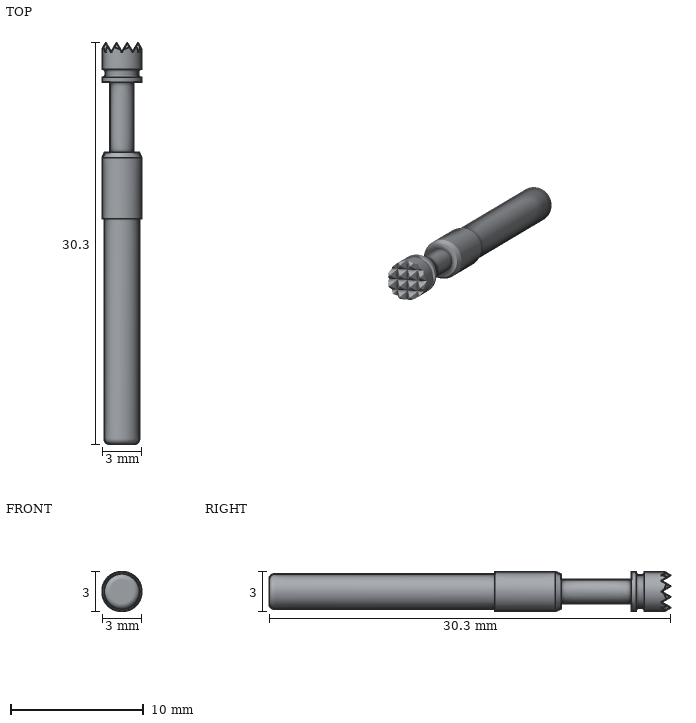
import cadquery as cq
import math

length = 30.3

head_radius = 1.5
head_groove_start = 2.0
head_groove_width = 0.6
head_groove_depth = 0.25
head_groove_fillet = 0.18
head_end = 2.97

stem_radius = 0.9

sleeve_radius = head_radius
sleeve_taper_start = 8.27
sleeve_nose_radius = 1.3
sleeve_taper_end = 8.7
sleeve_end = 13.27

barrel_radius = 1.33
tail_fillet = 0.42

tooth_count = 4
tooth_row_span = 2.42
tooth_pitch = tooth_row_span / (tooth_count - 1)
tooth_angle = 60.0
tooth_height = tooth_pitch / 2 / math.tan(math.radians(tooth_angle / 2))

tip_y = length / 2


def cylinder(radius, start, end):
    """Round section on the axis between two stations."""
    return cq.Workplane("XZ", origin=(0, tip_y - start, 0)).circle(radius).extrude(end - start)


def tooth_valleys(angle):
    """V-shaped cutters on both sides of every tooth row, turned about the axis by the angle."""
    half_span = 2 * head_radius
    cutters = cq.Workplane("XY")
    for i in range(tooth_count + 1):
        x = (i - tooth_count / 2) * tooth_pitch
        cutter = (
            cq.Workplane("XY")
            .moveTo(x, tip_y - tooth_height)
            .lineTo(x + tooth_pitch / 2, tip_y)
            .lineTo(x - tooth_pitch / 2, tip_y)
            .close()
            .extrude(half_span, both=True)
        )
        cutters = cutters.add(cutter)
    return cutters.combine().rotate((0, 0, 0), (0, 1, 0), angle)


def head():
    """Crown with a round-cornered neck groove and a square grid of pyramid teeth."""
    floor_radius = head_radius - head_groove_depth
    wall_radius = floor_radius + head_groove_fillet
    front = tip_y - head_groove_start
    back = front - head_groove_width
    bend = head_groove_fillet * (1 - math.sqrt(0.5))
    profile = (
        cq.Workplane("XY")
        .moveTo(0, tip_y)
        .lineTo(head_radius, tip_y)
        .lineTo(head_radius, front)
        .lineTo(wall_radius, front)
        .threePointArc((floor_radius + bend, front - bend), (floor_radius, front - head_groove_fillet))
        .lineTo(floor_radius, back + head_groove_fillet)
        .threePointArc((floor_radius + bend, back + bend), (wall_radius, back))
        .lineTo(head_radius, back)
        .lineTo(head_radius, tip_y - head_end)
        .lineTo(0, tip_y - head_end)
        .close()
    )
    body = profile.revolve(360, (0, 0, 0), (0, 1, 0))
    return body.cut(tooth_valleys(0)).cut(tooth_valleys(90))


def sleeve():
    """Press-fit sleeve whose leading end tapers down towards the stem."""
    taper = (
        cq.Workplane("XZ", origin=(0, tip_y - sleeve_taper_start, 0))
        .circle(sleeve_nose_radius)
        .workplane(offset=sleeve_taper_end - sleeve_taper_start)
        .circle(sleeve_radius)
        .loft()
    )
    return taper.union(cylinder(sleeve_radius, sleeve_taper_end, sleeve_end))


def barrel():
    """Plain barrel with a rounded tail end."""
    return cylinder(barrel_radius, sleeve_end, length).faces("<Y").edges().fillet(tail_fillet)


stem = cylinder(stem_radius, head_end, sleeve_taper_start)
result = head().union(stem).union(sleeve()).union(barrel())